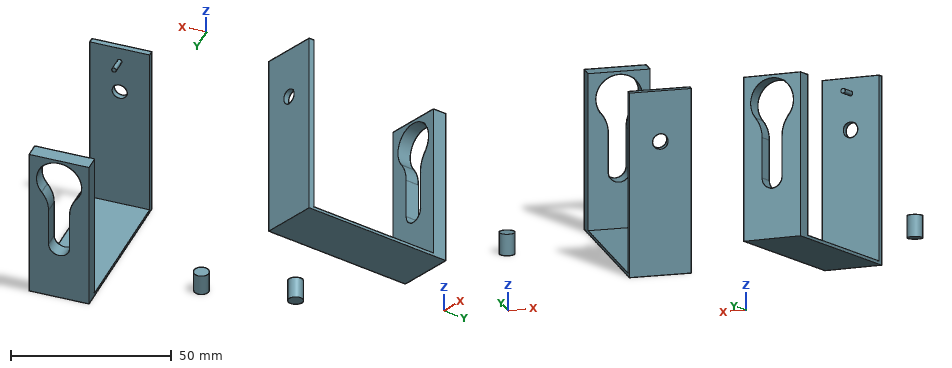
import cadquery as cq
import math

width = 20.0
depth = 55.0
front_height = 60.0
back_height = 52.0
front_thickness = 2.0
back_thickness = 5.0
floor_thickness = 1.0

lock_axis_z = 43.5
front_hole_diameter = 5.0

peg_diameter = 1.5
peg_length = 5.0
peg_z = 55.0

keyhole_radius = 7.5
slot_radius = 3.5
slot_end_z = 19.5
neck_radius = 10.0

pin_diameter = 5.0
pin_height = 7.0
pin_x = -40.0
pin_y = 35.45


def keyhole_cutter():
    """Circle and slot joined by concave arcs tangent to both."""
    neck_x = slot_radius + neck_radius
    neck_drop = math.sqrt((keyhole_radius + neck_radius) ** 2 - neck_x**2)
    neck_z = lock_axis_z - neck_drop

    circle_share = keyhole_radius / (keyhole_radius + neck_radius)
    touch_x = neck_x * circle_share
    touch_z = lock_axis_z - neck_drop * circle_share

    half_sweep = math.atan2(neck_drop, neck_x) / 2
    mid_x = neck_x - neck_radius * math.cos(half_sweep)
    mid_z = neck_z + neck_radius * math.sin(half_sweep)

    return (
        cq.Workplane("XZ", origin=(0, depth, 0))
        .moveTo(touch_x, touch_z)
        .threePointArc((0, lock_axis_z + keyhole_radius), (-touch_x, touch_z))
        .threePointArc((-mid_x, mid_z), (-slot_radius, neck_z))
        .lineTo(-slot_radius, slot_end_z)
        .threePointArc((0, slot_end_z - slot_radius), (slot_radius, slot_end_z))
        .lineTo(slot_radius, neck_z)
        .threePointArc((mid_x, mid_z), (touch_x, touch_z))
        .close()
        .extrude(back_thickness)
    )


def front_hole_cutter():
    return (
        cq.Workplane("XZ")
        .center(0, lock_axis_z)
        .circle(front_hole_diameter / 2)
        .extrude(-front_thickness)
    )


def peg():
    return (
        cq.Workplane("XZ", origin=(0, front_thickness, peg_z))
        .circle(peg_diameter / 2)
        .extrude(-peg_length)
    )


def make_bracket():
    walls_and_floor = (
        cq.Workplane("YZ")
        .polyline([
            (0, 0),
            (depth, 0),
            (depth, back_height),
            (depth - back_thickness, back_height),
            (depth - back_thickness, floor_thickness),
            (front_thickness, floor_thickness),
            (front_thickness, front_height),
            (0, front_height),
        ])
        .close()
        .extrude(width / 2, both=True)
    )
    return walls_and_floor.cut(keyhole_cutter()).cut(front_hole_cutter()).union(peg())


def make_pin():
    return cq.Workplane("XY").center(pin_x, pin_y).circle(pin_diameter / 2).extrude(pin_height)


bracket = make_bracket()
pin = make_pin()

result = cq.Compound.makeCompound([bracket.val(), pin.val()])